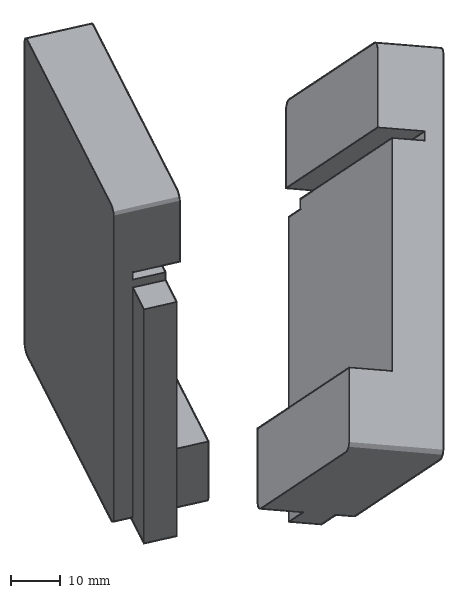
import cadquery as cq

height = 85.0
total_width = 63.0
depth = 20.1

tab_width = 7.0
tab_height = 63.0
tab_front = 4.0

body_width = total_width - tab_width
foot_height = 17.0
recess_depth = 11.0
head_depth = 14.0
slot_floor = 4.0
slot_bottom = 65.1
slot_top = 67.1
corner_radius = 2.0


def make_body():
    """Block with a deep foot, a recessed back and an undercut below the head."""
    profile = [
        (0, 0),
        (depth, 0),
        (depth, foot_height),
        (recess_depth, foot_height),
        (recess_depth, slot_bottom),
        (slot_floor, slot_bottom),
        (slot_floor, slot_top),
        (head_depth, slot_top),
        (head_depth, height),
        (0, height),
    ]
    body = cq.Workplane("YZ").polyline(profile).close().extrude(body_width)
    for face in ("<Z", ">Z"):
        body = body.faces(face).edges("|Y").fillet(corner_radius)
    return body


def make_tab():
    """Bar on the +X side, flush with the recessed back and the bottom."""
    inner_x = body_width - corner_radius
    return cq.Workplane("XY").box(
        total_width - inner_x,
        recess_depth - tab_front,
        tab_height,
        centered=False,
    ).translate((inner_x, tab_front, 0))


result = make_body().union(make_tab())